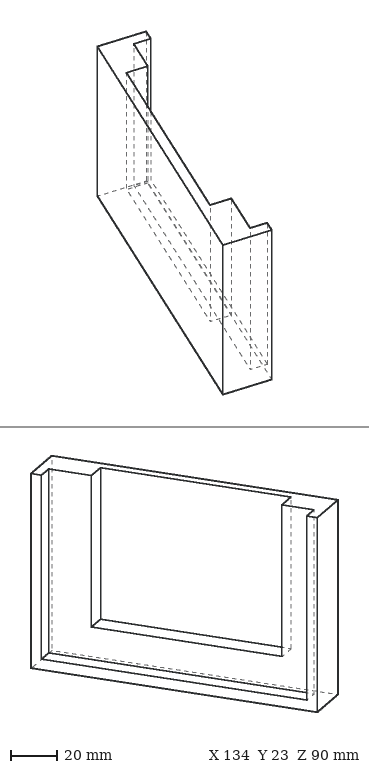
import cadquery as cq

width = 134.0
depth = 23.0
height = 90.0

wall = 5.0
wide_depth = 8.0
left_ledge = 15.0
right_ledge = 20.0

shoulder_y = depth - wide_depth


def box_between(low, high):
    """Box with its opposite corners at low and high."""
    sizes = [end - start for start, end in zip(low, high)]
    return cq.Workplane("XY").box(*sizes, centered=False).translate(low)


block = box_between((0, 0, 0), (width, depth, height))

wide_recess = box_between(
    (wall, shoulder_y, wall),
    (width - wall, depth, height),
)

narrow_recess = box_between(
    (wall + left_ledge, wall, wall + left_ledge),
    (width - wall - right_ledge, shoulder_y, height),
)

result = block.cut(wide_recess).cut(narrow_recess)